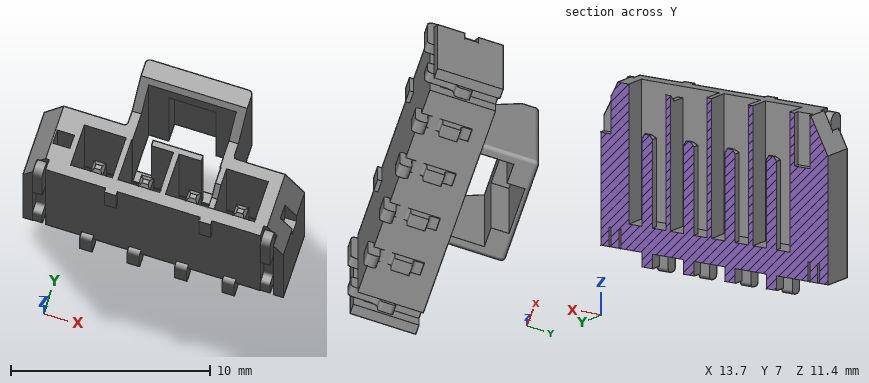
import cadquery as cq
import math


housing_width = 13.74
housing_depth = 3.48
housing_height = 8.64
housing_middle = -0.3
shoulder_width = 1.03
shoulder_height = 1.94

pitch = 2.5
contact_count = 4
pocket_width = 2.2
pocket_front = 0.62
pocket_back = 2.85
pocket_floor = 1.37
sill_depth = 0.04
sill_top = 2.2
notch_depth = 0.59
notch_start = 1.95

latch_width = 5.6
latch_side_wall = 0.5
latch_back = 6.68
latch_inner_back = 5.47
latch_top = 10.13
latch_bottom = 1.98
latch_ridge = 5.73
latch_slope_end = 4.29
latch_edge_radius = 0.23
latch_bottom_radius = 0.2
latch_root_radius = 0.19
window_width = 2.5
window_top = 8.81
window_depth = 0.95

key_width = 2.64
key_back = 3.15

guide_width = 0.62
guide_bottom = 6.64
guide_height = 0.22

hole_width = 0.89
hole_front = 1.44
hole_back = 2.17
hole_depth = 2.75
left_hole_middle = -5.3
right_hole_inner = 6.25

clip_offset = 6.0
clip_width = 0.51
slot_width = 0.69
slot_depth = 0.55
slot_notch_height = 1.02
clip_top = 8.5
clip_plate_front = 0.23
clip_hook_bottom = 5.28
clip_lug_top = 2.3
clip_lug_bottom = 0.84
clip_foot_front = 1.24
clip_foot_back = 2.06
hook_inner_radius = 0.44
hook_outer_radius = 0.41
hook_end_radius = 0.19
hook_plate_radius = 0.11
lug_top_radius = 0.16
lug_bottom_radius = 0.27
foot_bend_radius = 0.41
foot_end_radius = 0.18

pin_width = 0.65
pin_front = 1.39
pin_back = 2.07
pin_top = 6.18
pin_tip_length = 0.22
pin_tip_width = 0.33
pin_tip_depth = 0.23
lead_top = 0.62
lead_bottom = -1.3
lead_back = 0.33
peg_front = 1.13
peg_bottom = -0.75
heel_back = 2.67
heel_bottom = -0.14
lead_radius = 0.22
lead_tip_radius = 0.26
peg_root_radius = 0.15
peg_edge_radius = 0.07
heel_radius = 0.25

solder_face = -0.32

clear = 0.14


def block(x_range, y_range, z_range):
    """Box between two X, two Y and two Z limits."""
    size = [high - low for low, high in (x_range, y_range, z_range)]
    corner = (x_range[0], y_range[0], z_range[0])
    return cq.Workplane("XY").box(*size, centered=False).translate(corner)


def centred(middle, width):
    """Limits of a span of the given width around its middle."""
    return middle - width / 2, middle + width / 2


def side_plate(corners, x_range):
    """Plate across X whose outline is (y, z, corner radius) points in order."""
    count = len(corners)
    outline = None
    for index, (y, z, radius) in enumerate(corners):
        before = corners[index - 1]
        after = corners[(index + 1) % count]
        corner = cq.Vector(y, z, 0)
        to_before = (cq.Vector(before[0], before[1], 0) - corner).normalized()
        to_after = (cq.Vector(after[0], after[1], 0) - corner).normalized()
        half_angle = to_before.getAngle(to_after) / 2
        reach = radius / math.tan(half_angle)
        bisector = (to_before + to_after).normalized()
        start = corner + to_before * reach
        middle = corner + bisector * (radius / math.sin(half_angle) - radius)
        end = corner + to_after * reach
        if outline is None:
            outline = cq.Workplane("YZ", origin=(x_range[0], 0, 0)).moveTo(start.x, start.y)
        else:
            outline = outline.lineTo(start.x, start.y)
        if radius > 0:
            outline = outline.threePointArc((middle.x, middle.y), (end.x, end.y))
    return outline.close().extrude(x_range[1] - x_range[0])


def make_housing():
    """Plain block with sloped shoulders at both ends."""
    half = housing_width / 2
    return (
        cq.Workplane("XZ", origin=(housing_middle, 0, 0))
        .moveTo(-half, 0)
        .lineTo(half, 0)
        .lineTo(half, housing_height - shoulder_height)
        .lineTo(half - shoulder_width, housing_height)
        .lineTo(shoulder_width - half, housing_height)
        .lineTo(-half, housing_height - shoulder_height)
        .close()
        .extrude(-housing_depth)
    )


def add_latch(body):
    """Solid latch behind the housing, rounded outside and at its root."""
    side = [
        (pocket_back, latch_bottom, 0),
        (latch_back, latch_bottom, 0),
        (latch_back, latch_top, 0),
        (latch_ridge, latch_top, 0),
        (latch_slope_end, housing_height, 0),
        (pocket_back, housing_height, 0),
    ]
    latch = side_plate(side, centred(0, latch_width))
    latch = latch.edges("|Z and >Y").fillet(latch_edge_radius)
    latch = latch.faces("<Z").edges("not <Y").fillet(latch_bottom_radius)
    body = body.union(latch)
    root_margin = 0.01
    root = cq.selectors.BoxSelector(
        (-latch_width / 2 - root_margin, housing_depth - root_margin, latch_bottom - root_margin),
        (latch_width / 2 + root_margin, housing_depth + root_margin, housing_height - root_margin),
    )
    return body.edges(root).fillet(latch_root_radius)


def cut_latch_opening(body):
    """Opening through the latch, the channel into the housing and the catch window."""
    inside = centred(0, latch_width - 2 * latch_side_wall)
    opening = block(inside, (housing_depth, latch_inner_back), (0, latch_top + clear))
    channel = block(inside, (pocket_back, housing_depth), (latch_bottom, latch_top))
    key = block(centred(0, key_width), (pocket_back, key_back), (0, housing_height))
    window = block(
        centred(0, window_width),
        (latch_inner_back, latch_inner_back + window_depth),
        (0, window_top),
    )
    return body.cut(opening).cut(channel.cut(key)).cut(window)


def contact_positions():
    """X of every contact, from left to right."""
    return [(index - (contact_count - 1) / 2) * pitch for index in range(contact_count)]


def cut_pockets(body):
    """One pocket per contact with a low sill at its back, and a notch between the right-hand two."""
    for x in contact_positions():
        pocket = block(
            centred(x, pocket_width),
            (pocket_front, pocket_back),
            (pocket_floor, housing_height + clear),
        )
        sill = block(
            centred(x, pocket_width),
            (pocket_back - sill_depth, pocket_back),
            (pocket_floor, sill_top),
        )
        body = body.cut(pocket.cut(sill))
    notch = [
        (notch_start, housing_height, 0),
        (notch_start - notch_depth, housing_height - notch_depth, 0),
        (pocket_front, housing_height - notch_depth, 0),
        (pocket_front, housing_height, 0),
    ]
    return body.cut(side_plate(notch, centred(pitch, pitch - pocket_width)))


def add_guides(body):
    """Two ribs on the front wall, flush with the sides of the latch."""
    for side in (-1, 1):
        guide = block(
            centred(side * (latch_width - guide_width) / 2, guide_width),
            (-guide_height, pocket_front),
            (guide_bottom, housing_height),
        )
        body = body.union(guide)
    return body


def cut_polarising_holes(body):
    """Closed hole at the left end and a hole open to the right end."""
    heights = (housing_height - hole_depth, housing_height + clear)
    right_end = housing_middle + housing_width / 2
    left_hole = centred(housing_middle + left_hole_middle, hole_width)
    right_hole = (housing_middle + right_hole_inner, right_end + clear)
    for x_range in (left_hole, right_hole):
        body = body.cut(block(x_range, (hole_front, hole_back), heights))
    return body


def add_clips(body):
    """Solder clips in slots of the front wall, hooked at the top and bent back below."""
    outline = [
        (slot_depth, clip_top, hook_inner_radius),
        (solder_face, clip_top, hook_outer_radius),
        (solder_face, clip_hook_bottom, hook_end_radius),
        (clip_plate_front, clip_hook_bottom, hook_plate_radius),
        (clip_plate_front, clip_lug_top, lug_top_radius),
        (solder_face, clip_lug_top, lug_top_radius),
        (solder_face, clip_lug_bottom, lug_bottom_radius),
        (clip_foot_front, clip_lug_bottom, foot_bend_radius),
        (clip_foot_front, 0, foot_end_radius),
        (clip_foot_back, 0, foot_end_radius),
        (clip_foot_back, slot_notch_height, 0),
        (slot_depth, slot_notch_height, 0),
    ]
    for side in (-1, 1):
        middle = housing_middle + side * clip_offset
        slot_span = centred(middle, slot_width)
        slot = block(slot_span, (-clear, slot_depth), (-clear, housing_height + clear))
        notch = block(slot_span, (-clear, housing_depth + clear), (-clear, slot_notch_height))
        clip = side_plate(outline, centred(middle, clip_width))
        body = body.cut(slot).cut(notch).union(clip)
    return body


def make_contact(x):
    """Pointed post above the pocket floor with a peg and a solder lead below."""
    span = centred(x, pin_width)
    post_top = pin_top - pin_tip_length
    post = block(span, (pin_front, pin_back), (0, post_top))
    tip = (
        cq.Workplane("XY", origin=(x, (pin_front + pin_back) / 2, post_top))
        .rect(pin_width, pin_back - pin_front)
        .workplane(offset=pin_tip_length)
        .rect(pin_tip_width, pin_tip_depth)
        .loft()
    )
    tail = [
        (solder_face, lead_top, lead_radius),
        (solder_face, lead_bottom, lead_radius),
        (lead_back, lead_bottom, lead_tip_radius),
        (lead_back, 0, lead_radius),
        (peg_front, 0, peg_root_radius),
        (peg_front, peg_bottom, peg_edge_radius),
        (pin_back, peg_bottom, 0),
        (pin_back, heel_bottom, heel_radius),
        (heel_back, heel_bottom, 0),
        (heel_back, lead_top, 0),
    ]
    return post.union(tip).union(side_plate(tail, span))


result = make_housing()
result = add_latch(result)
result = cut_latch_opening(result)
result = cut_pockets(result)
result = add_guides(result)
result = cut_polarising_holes(result)
result = add_clips(result)
for contact_x in contact_positions():
    result = result.union(make_contact(contact_x))